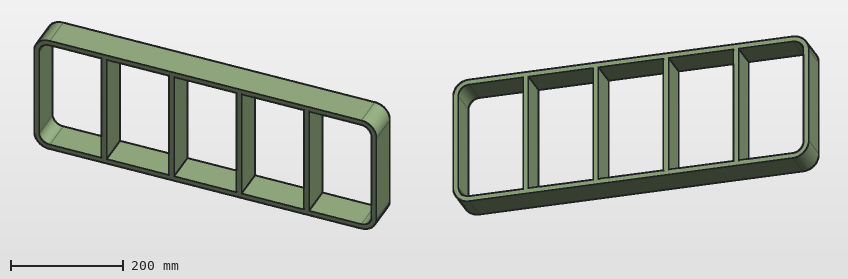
import cadquery as cq

length = 662.5
depth = 60.0
height = 238.0

wall = 10.0
outer_radius = 30.0
inner_radius = outer_radius - wall
bay_count = 5

inner_length = length - 2 * wall
inner_height = height - 2 * wall
divider_count = bay_count - 1
bay_width = (inner_length - divider_count * wall) / bay_count
divider_pitch = bay_width + wall


def rounded_bar(bar_length, bar_height, radius):
    """Block centred on the origin with its four corners rounded along Y."""
    return cq.Workplane("XY").box(bar_length, depth, bar_height).edges("|Y").fillet(radius)


rim = rounded_bar(length, height, outer_radius).cut(
    rounded_bar(inner_length, inner_height, inner_radius)
)

divider_height = inner_height + wall
result = rim
for index in range(divider_count):
    divider_x = (index - (divider_count - 1) / 2) * divider_pitch
    divider = cq.Workplane("XY").box(wall, depth, divider_height)
    result = result.union(divider.translate((divider_x, 0, 0)))